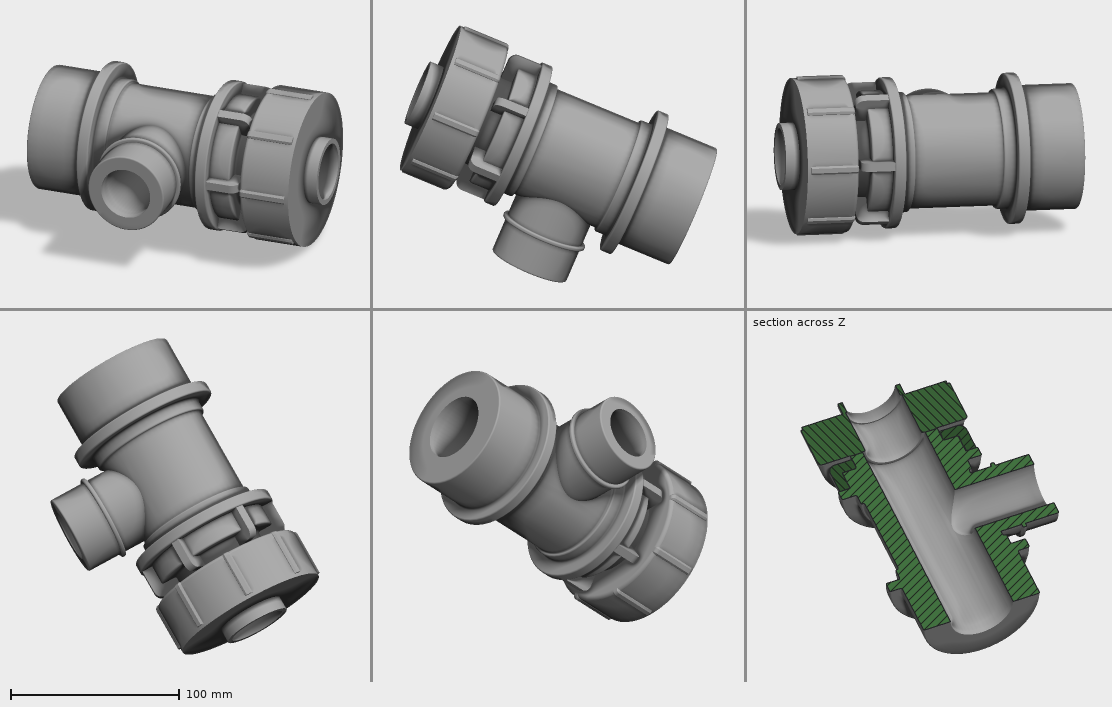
import cadquery as cq

SOCKET_DIA = 75.0
FLANGE_DIA = 90.0
COLLAR_DIA = 71.5
TUBE_DIA = 67.5
RING_DIA = 75.0
NECK_DIA = 56.2

COLLAR_WIDTH = 7.3
FLANGE_1_X = 34.5
FLANGE_1_END_X = 41.5
FLANGE_2_X = 109.6
FLANGE_2_END_X = 116.5
RING_END_X = 128.9
NECK_END_X = 138.7
BORE_DIA = 40.0
EDGE_ROUND = 0.9
RING_ROUND = 1.0

BRANCH_X = 75.8
BRANCH_DIA = 47.9
BRANCH_BORE_DIA = 31.2
BRANCH_REACH = 71.0
RIM_DIA = 52.5
RIM_WIDTH = 2.7
RIM_REACH = 49.5
RIM_ROUND = 1.0

NUT_X = NECK_END_X
NUT_END_X = 169.8
NUT_DIA = 93.1
CORE_DIA = 81.5
NUT_BORE_DIA = 36.0
PIPE_DIA = 40.0
PIPE_BORE_DIA = 34.0
PIPE_END_X = 178.0
NUT_ROUND = 2.3

RIB_COUNT = 8
RIB_TIP_DIA = 96.0
RIB_WIDTH = 5.0
RIB_END_X = 167.7
RIB_CHAMFER = 1.0

CLAW_COUNT = 6
CLAW_TIP_RADIUS = 44.0
CLAW_WIDTH = 5.0
CLAW_END_X = 136.0
CLAW_ROUND = 5.0


def cylinder_x(diameter, start, end):
    """Cylinder on the X axis between two X positions."""
    return cq.Workplane("YZ", origin=(start, 0, 0)).circle(diameter / 2).extrude(end - start)


def cylinder_branch(diameter, start, end):
    """Cylinder on the branch axis between two distances from the main axis."""
    plane = cq.Workplane("XZ", origin=(BRANCH_X, -start, 0))
    return plane.circle(diameter / 2).extrude(end - start)


def make_trunk():
    """Socket, two flanges with their collars and the tube between, all steps rounded."""
    tube_start = FLANGE_1_END_X + COLLAR_WIDTH
    tube_end = FLANGE_2_X - COLLAR_WIDTH
    trunk = cylinder_x(SOCKET_DIA, 0, FLANGE_1_X)
    trunk = trunk.union(cylinder_x(FLANGE_DIA, FLANGE_1_X, FLANGE_1_END_X))
    trunk = trunk.union(cylinder_x(COLLAR_DIA, FLANGE_1_END_X, tube_start))
    trunk = trunk.union(cylinder_x(TUBE_DIA, tube_start, tube_end))
    trunk = trunk.union(cylinder_x(COLLAR_DIA, tube_end, FLANGE_2_X))
    trunk = trunk.union(cylinder_x(FLANGE_DIA, FLANGE_2_X, FLANGE_2_END_X))
    return trunk.edges("%CIRCLE").fillet(EDGE_ROUND)


def make_outlet():
    """Ring and neck behind the second flange, with the step between them rounded."""
    ring = cylinder_x(RING_DIA, FLANGE_2_END_X, RING_END_X)
    outlet = ring.union(cylinder_x(NECK_DIA, RING_END_X, NECK_END_X))
    return outlet.edges("%CIRCLE and (not <X) and (not >X)").fillet(RING_ROUND)


def make_branch():
    """Side spigot with a rounded end and a rounded rim."""
    spigot = cylinder_branch(BRANCH_DIA, 0, BRANCH_REACH).faces("<Y").edges().fillet(EDGE_ROUND)
    rim = cylinder_branch(RIM_DIA, RIM_REACH - RIM_WIDTH, RIM_REACH).edges("%CIRCLE").fillet(RIM_ROUND)
    return spigot.union(rim)


def make_housing():
    """Tee bored along both axes."""
    body = make_trunk().union(make_outlet()).union(make_branch())
    body = body.cut(cylinder_x(BORE_DIA, 0, NECK_END_X))
    return body.cut(cylinder_branch(BRANCH_BORE_DIA, 0, BRANCH_REACH)).solids().val()


def make_rib():
    """Grip rib on the +Z side of the nut, rounded at its front and chamfered along its top."""
    base_radius = NUT_DIA / 2 - NUT_ROUND
    length = RIB_END_X - NUT_X
    height = RIB_TIP_DIA / 2 - base_radius
    rib = cq.Workplane("XY", origin=(NUT_X, 0, base_radius))
    rib = rib.box(length, RIB_WIDTH, height, centered=(False, True, False))
    rib = rib.edges("<X and >Z").fillet(NUT_ROUND)
    return rib.faces(">Z").edges("|X").chamfer(RIB_CHAMFER)


def make_nut():
    """Ribbed ring around a bored core that carries the outlet pipe."""
    ring = cylinder_x(NUT_DIA, NUT_X, NUT_END_X).faces("<X").edges().fillet(NUT_ROUND)
    rib = make_rib()
    for index in range(RIB_COUNT):
        ring = ring.union(rib.rotate((0, 0, 0), (1, 0, 0), index * 360 / RIB_COUNT))
    ring = ring.cut(cylinder_x(CORE_DIA, NUT_X, NUT_END_X))

    core = cylinder_x(CORE_DIA, NUT_X, NUT_END_X).cut(cylinder_x(NUT_BORE_DIA, NUT_X, NUT_END_X))
    pipe = cylinder_x(PIPE_DIA, NUT_END_X, PIPE_END_X).cut(cylinder_x(PIPE_BORE_DIA, NUT_END_X, PIPE_END_X))
    return ring.union(core.union(pipe), clean=False).solids().val()


def make_claw(outlet, angle):
    """L-shaped plate behind the second flange, resting on the ring and the neck."""
    claw = (
        cq.Workplane("XZ", origin=(FLANGE_2_END_X, 0, 0))
        .rect(CLAW_END_X - FLANGE_2_END_X, CLAW_TIP_RADIUS, centered=False)
        .extrude(CLAW_WIDTH / 2, both=True)
        .edges(">X and >Z").fillet(CLAW_ROUND)
        .cut(outlet)
    )
    return claw.rotate((0, 0, 0), (1, 0, 0), angle).solids().val()


housing = make_housing()
nut = make_nut()

solid_outlet = make_outlet()
claws = [make_claw(solid_outlet, 90 + index * 360 / CLAW_COUNT) for index in range(CLAW_COUNT)]

result = cq.Compound.makeCompound([housing, nut, *claws])